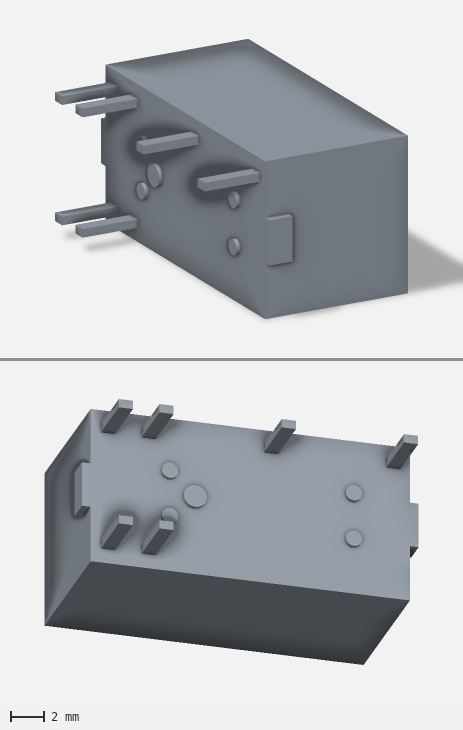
import cadquery as cq

total_length = 21.0
tab_reach = 0.55
body_length = total_length - 2 * tab_reach
body_height = 10.0
total_depth = 13.5
pin_length = 3.78
body_depth = total_depth - pin_length

tab_depth = 1.55
tab_height = 2.85

pin_width = 0.88
pin_thickness = 0.55
pin_pitch = 2.55
first_pin_x = -8.88
pin_row_spacing = 3 * pin_pitch
pin_row_z = pin_row_spacing / 2
upper_pin_steps = [0, 1, 4, 7]
lower_pin_steps = [0, 1]

pad_height = 0.27
standoff_diameter = 1.0
standoff_left_x = -5.08
standoff_right_x = 6.38
standoff_z = 1.5
plug_diameter = 1.43
plug_x = -3.5


def box_from_face(length, depth, height):
    """Box centred on X and Z that extends from the pin face towards +Y."""
    return cq.Workplane("XY").box(length, depth, height, centered=(True, False, True))


def pin(x, z):
    """Pin standing out of the pin face towards -Y."""
    return box_from_face(pin_width, pin_length, pin_thickness).translate((x, -pin_length, z))


def round_pad(x, z, diameter):
    """Low round pad standing out of the pin face towards -Y."""
    return cq.Workplane("XZ").center(x, z).circle(diameter / 2).extrude(pad_height)


result = box_from_face(body_length, body_depth, body_height)
result = result.union(box_from_face(total_length, tab_depth, tab_height))

for row_z, steps in [(pin_row_z, upper_pin_steps), (-pin_row_z, lower_pin_steps)]:
    for step in steps:
        result = result.union(pin(first_pin_x + step * pin_pitch, row_z))

for x in (standoff_left_x, standoff_right_x):
    for z in (-standoff_z, standoff_z):
        result = result.union(round_pad(x, z, standoff_diameter))
result = result.union(round_pad(plug_x, 0, plug_diameter))